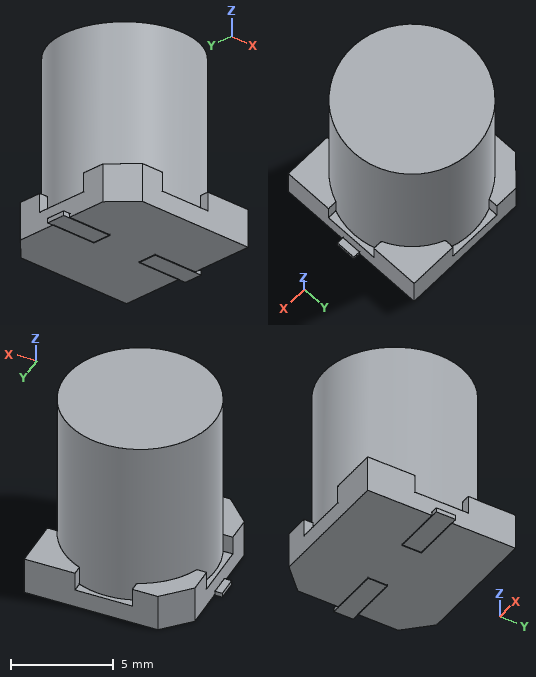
import cadquery as cq

total_height = 10.34
can_diameter = 8.08
base_side = 8.51
terminal_span = 9.3

base_standoff = 0.04
base_height = 2.06
base_top = base_standoff + base_height
seat_depth = base_height / 2
seat_level = base_top - seat_depth
corner_chamfer = 0.16 * base_side
post_side = 2 * corner_chamfer
notch_width = base_side - 2 * post_side

terminal_width = 1.12
terminal_thickness = 0.25
terminal_inner_x = notch_width / 2
terminal_length = terminal_span / 2 - terminal_inner_x


def make_can():
    """Cylindrical can standing on the floor of its seat in the base."""
    return (
        cq.Workplane("XY", origin=(0, 0, seat_level))
        .circle(can_diameter / 2)
        .extrude(total_height - seat_level)
    )


def make_terminal(side):
    """Flat terminal strip under the base; side is -1 or +1 along X."""
    center_x = side * (terminal_inner_x + terminal_length / 2)
    return (
        cq.Workplane("XY")
        .center(center_x, 0)
        .rect(terminal_length, terminal_width)
        .extrude(terminal_thickness)
    )


def make_base():
    """Square plate with two chamfered -X corners and four corner posts around the can."""
    base = (
        cq.Workplane("XY", origin=(0, 0, base_standoff))
        .rect(base_side, base_side)
        .extrude(base_height)
        .edges("|Z and <X")
        .chamfer(corner_chamfer)
    )
    seat = cq.Workplane("XY", origin=(0, 0, seat_level))
    base = base.cut(seat.circle(can_diameter / 2).extrude(seat_depth))
    base = base.cut(seat.rect(base_side, notch_width).extrude(seat_depth))
    return base.cut(seat.rect(notch_width, base_side).extrude(seat_depth))


can = make_can()
terminals = [make_terminal(side) for side in (-1, 1)]

base = make_base()
for terminal in terminals:
    base = base.cut(terminal)

result = cq.Compound.makeCompound([can.val(), base.val(), *[terminal.val() for terminal in terminals]])